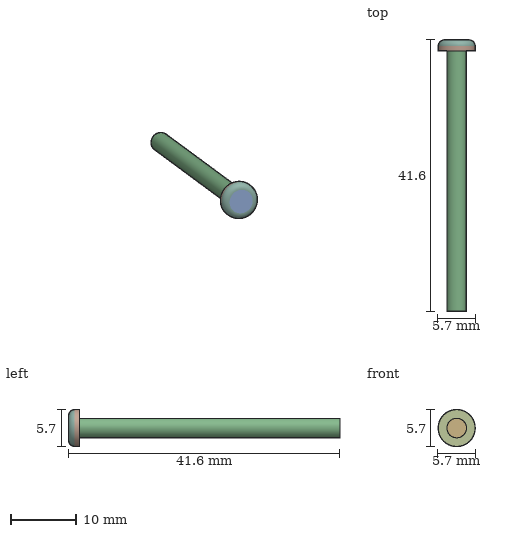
import cadquery as cq

total_length = 41.65
shank_diameter = 3.0
head_diameter = 5.7
head_thickness = 1.7
head_edge_radius = 1.0

shank_length = total_length - head_thickness


def cylinder_along_y(diameter, start_y, length):
    """Solid cylinder on the Y axis, running from start_y towards +Y."""
    base = cq.Workplane("XZ", origin=(0, start_y, 0))
    return base.circle(diameter / 2).extrude(-length)


shank = cylinder_along_y(shank_diameter, 0, shank_length)

head = cylinder_along_y(head_diameter, shank_length, head_thickness)
head = head.faces(">Y").edges().fillet(head_edge_radius)

result = shank.union(head)